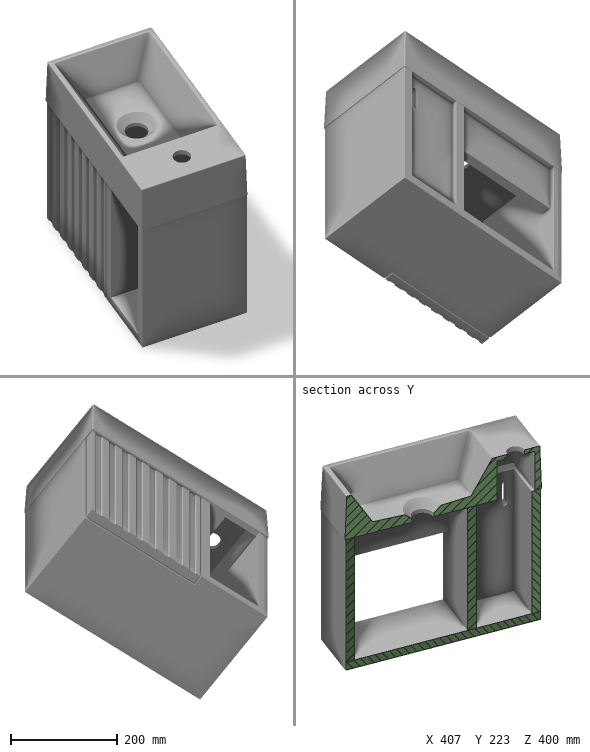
import cadquery as cq
import math

BASIN_LENGTH = 407.0
BASIN_DEPTH = 223.0
BASIN_HEIGHT = 100.0
BASIN_TOP_LENGTH = 399.5
BASIN_TOP_DEPTH = 219.0
RIM_FILLET = 1.5
CORNER_FILLET = 2.0

BOWL_LENGTH = 291.0
BOWL_WIDTH = 199.5
BOWL_CENTRE_X = -44.5
BOWL_DEPTH = 74.0
BOWL_INSET = 44.0
BOWL_FILLET = 3.3
BOWL_LEAN = math.degrees(math.atan2(BOWL_INSET, BOWL_DEPTH))
FLOOR_DISH = 3.5
FLOOR_STEPS = 6

DRAIN_X = -42.0
DRAIN_TOP_DIAMETER = 75.5
DRAIN_DIAMETER = 44.8
DRAIN_DROP = 2.5
DRAIN_CONE_DEPTH = 15.0
TAP_HOLE_X = 149.8
TAP_HOLE_DIAMETER = 35.0
BASIN_WALL = 10.5

CABINET_LENGTH = 403.7
CABINET_HEIGHT = 300.0
PANEL = 19.0
CABINET_FRONT_Y = -108.5
CABINET_BACK_Y = 110.5
CABINET_LEFT_X = -CABINET_LENGTH / 2
CABINET_RIGHT_X = CABINET_LENGTH / 2

DOOR_WIDTH = 248.3
DOOR_HEIGHT = 296.3
DOOR_SIDE_GAP = 3.5
DOOR_BACK_GAP = 4.0
DIVIDER_LEFT_X = CABINET_LEFT_X + DOOR_WIDTH + DOOR_SIDE_GAP
RECESSED_FRONT_Y = CABINET_FRONT_Y + PANEL + DOOR_BACK_GAP

GROOVE_COUNT = 8
GROOVE_PITCH = 31.0
GROOVE_MID_WIDTH = 14.0
GROOVE_DEPTH = 2.0
GROOVE_WALL_RUN = 2.0

BACK_RECESS = 11.5
RAIL_HEIGHT = 104.0
SLOT_LENGTH = 55.5
SLOT_WIDTH = 12.0
SLOT_X = 164.5
SLOT_CENTRE_Z = 248.0

RIM_Z = CABINET_HEIGHT + BASIN_HEIGHT
BOWL_FLOOR_Z = RIM_Z - BOWL_DEPTH


def box(x_min, x_max, y_min, y_max, z_min, z_max):
    """Block between the given limits."""
    size = (x_max - x_min, y_max - y_min, z_max - z_min)
    return cq.Workplane("XY").box(*size, centered=False).translate((x_min, y_min, z_min))


def make_bowl():
    """Bowl cavity: a truncated pyramid with rounded corners and a rounded floor edge."""
    bowl = (
        cq.Workplane("XY", origin=(BOWL_CENTRE_X, 0, RIM_Z))
        .rect(BOWL_LENGTH, BOWL_WIDTH)
        .extrude(-BOWL_DEPTH, taper=BOWL_LEAN)
    )
    return bowl.edges("not >Z").fillet(BOWL_FILLET)


def make_floor_fall():
    """Shallow cavity whose smooth floor starts level at the bowl's floor edge and dishes down."""
    fillet_foot = BOWL_FILLET * math.tan(math.radians(90 - BOWL_LEAN) / 2)
    half_length = BOWL_LENGTH / 2 - BOWL_INSET - fillet_foot
    half_width = BOWL_WIDTH / 2 - BOWL_INSET - fillet_foot
    steps = [index / FLOOR_STEPS for index in range(-FLOOR_STEPS, FLOOR_STEPS + 1)]
    floor_points = [
        [
            cq.Vector(
                BOWL_CENTRE_X + u * half_length,
                v * half_width,
                BOWL_FLOOR_Z - FLOOR_DISH * (1 - u**2) * (1 - v**2),
            )
            for v in steps
        ]
        for u in steps
    ]
    dished_floor = cq.Face.makeSplineApprox(floor_points)
    return cq.Workplane(cq.Solid.extrudeLinear(dished_floor, cq.Vector(0, 0, 2 * FLOOR_DISH)))


def make_drain():
    """Conical drain mouth that narrows to a straight hole through the basin's underside."""
    hole_top_z = BOWL_FLOOR_Z - DRAIN_DROP - DRAIN_CONE_DEPTH
    cone_slope = (DRAIN_TOP_DIAMETER - DRAIN_DIAMETER) / 2 / DRAIN_CONE_DEPTH
    mouth_radius = DRAIN_TOP_DIAMETER / 2 + cone_slope * DRAIN_DROP
    profile = [
        (0, CABINET_HEIGHT),
        (DRAIN_DIAMETER / 2, CABINET_HEIGHT),
        (DRAIN_DIAMETER / 2, hole_top_z),
        (mouth_radius, BOWL_FLOOR_Z),
        (0, BOWL_FLOOR_Z),
    ]
    drain = cq.Workplane("XZ").polyline(profile).close().revolve(360, (0, 0, 0), (0, 1, 0))
    return drain.translate((DRAIN_X, 0, 0))


def make_tap_hollow():
    """Hollow under the tap hole, open at the basin's underside."""
    return box(
        BOWL_CENTRE_X + BOWL_LENGTH / 2 + BASIN_WALL,
        BASIN_TOP_LENGTH / 2 - BASIN_WALL,
        BASIN_WALL - BASIN_TOP_DEPTH / 2,
        BASIN_TOP_DEPTH / 2 - BASIN_WALL,
        CABINET_HEIGHT,
        RIM_Z - BASIN_WALL,
    )


def make_basin():
    block = (
        cq.Workplane("XY", origin=(0, 0, CABINET_HEIGHT))
        .rect(BASIN_LENGTH, BASIN_DEPTH)
        .workplane(offset=BASIN_HEIGHT)
        .rect(BASIN_TOP_LENGTH, BASIN_TOP_DEPTH)
        .loft(ruled=True)
        .edges("not #Z")
        .fillet(CORNER_FILLET)
    )
    tap_hole = (
        cq.Workplane("XY", origin=(TAP_HOLE_X, 0, CABINET_HEIGHT))
        .circle(TAP_HOLE_DIAMETER / 2)
        .extrude(BASIN_HEIGHT)
    )
    basin = block.cut(make_bowl()).faces(">Z").edges().fillet(RIM_FILLET)
    return basin.cut(make_floor_fall()).cut(make_drain()).cut(make_tap_hollow()).cut(tap_hole)


def make_upright(left_x, front_y):
    """Upright panel standing on the bottom panel and carrying the basin."""
    return box(left_x, left_x + PANEL, front_y, CABINET_BACK_Y, PANEL, CABINET_HEIGHT)


def make_bottom_panel():
    """Bottom panel, set back behind the door and flush with the divider in front of the bay."""
    behind_door = box(
        CABINET_LEFT_X, DIVIDER_LEFT_X, RECESSED_FRONT_Y, CABINET_BACK_Y, 0, PANEL
    )
    under_bay = box(DIVIDER_LEFT_X, CABINET_RIGHT_X, CABINET_FRONT_Y, CABINET_BACK_Y, 0, PANEL)
    return behind_door.union(under_bay)


def make_door():
    """Door with evenly spaced vertical grooves whose walls are slanted."""
    door = box(
        CABINET_LEFT_X,
        CABINET_LEFT_X + DOOR_WIDTH,
        CABINET_FRONT_Y,
        CABINET_FRONT_Y + PANEL,
        0,
        DOOR_HEIGHT,
    )
    mouth_half = (GROOVE_MID_WIDTH + GROOVE_WALL_RUN) / 2
    floor_half = (GROOVE_MID_WIDTH - GROOVE_WALL_RUN) / 2
    floor_y = CABINET_FRONT_Y + GROOVE_DEPTH
    door_centre_x = CABINET_LEFT_X + DOOR_WIDTH / 2
    for index in range(GROOVE_COUNT):
        groove_x = door_centre_x + (index - (GROOVE_COUNT - 1) / 2) * GROOVE_PITCH
        groove = (
            cq.Workplane("XY")
            .moveTo(groove_x - mouth_half, CABINET_FRONT_Y)
            .lineTo(groove_x - floor_half, floor_y)
            .lineTo(groove_x + floor_half, floor_y)
            .lineTo(groove_x + mouth_half, CABINET_FRONT_Y)
            .close()
            .extrude(DOOR_HEIGHT)
        )
        door = door.cut(groove)
    return door


def make_back_panel():
    """Full-height slotted panel behind the bay, with a rail running through the divider."""
    rear_y = CABINET_BACK_Y - BACK_RECESS
    front_y = rear_y - PANEL
    rail = box(
        CABINET_LEFT_X + PANEL,
        DIVIDER_LEFT_X + PANEL,
        front_y,
        rear_y,
        CABINET_HEIGHT - RAIL_HEIGHT,
        CABINET_HEIGHT,
    )
    bay_back = box(
        DIVIDER_LEFT_X + PANEL,
        CABINET_RIGHT_X - PANEL,
        front_y,
        rear_y,
        PANEL,
        CABINET_HEIGHT,
    )
    slot = (
        cq.Workplane("XZ", origin=(SLOT_X, rear_y, SLOT_CENTRE_Z))
        .slot2D(SLOT_LENGTH, SLOT_WIDTH, 90)
        .extrude(PANEL)
    )
    return rail.union(bay_back).cut(slot)


basin = make_basin()
bottom_panel = make_bottom_panel()
door = make_door()
back_panel = make_back_panel()
left_side = make_upright(CABINET_LEFT_X, RECESSED_FRONT_Y)
right_side = make_upright(CABINET_RIGHT_X - PANEL, CABINET_FRONT_Y)
divider = make_upright(DIVIDER_LEFT_X, CABINET_FRONT_Y).cut(back_panel)

result = cq.Compound.makeCompound(
    [
        basin.val(),
        bottom_panel.val(),
        left_side.val(),
        right_side.val(),
        divider.val(),
        back_panel.val(),
        door.val(),
    ]
)